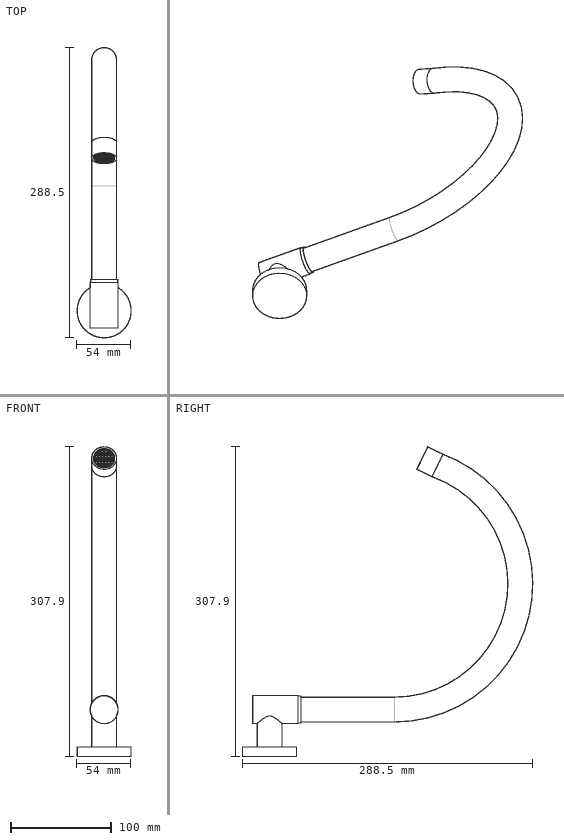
import cadquery as cq
import math


FLANGE_DIAMETER = 54.0
FLANGE_THICKNESS = 10.0
POST_DIAMETER = 25.0
BARREL_DIAMETER = 28.0
BARREL_FRONT = 17.0
BARREL_BACK = 28.0
ARM_HEIGHT = 46.8

COLLAR_DIAMETER = 27.0
COLLAR_LENGTH = 3.0
TUBE_DIAMETER = 25.0
BEND_START = 124.0
BEND_RADIUS = 125.0
BEND_ANGLE = 160.0
BEND_TRIM = 3.0

NOZZLE_TILT = 26.0
NOZZLE_LENGTH = 17.0
NOZZLE_DIAMETER = TUBE_DIAMETER
NOZZLE_WALL = 2.0
SCREEN_THICKNESS = 3.0
SCREEN_RECESS = 1.0
WEB_WIDTH = 1.0
WEB_PITCH = 3.0

COLLAR_END = BARREL_BACK + COLLAR_LENGTH
BEND_CENTRE_Z = ARM_HEIGHT + BEND_RADIUS
BORE_DIAMETER = NOZZLE_DIAMETER - 2 * NOZZLE_WALL
BORE_DEPTH = SCREEN_THICKNESS + SCREEN_RECESS
BORE_FLOOR = NOZZLE_LENGTH - BORE_DEPTH
WEBS_PER_SIDE = math.floor(BORE_DIAMETER / 2 / WEB_PITCH)


def arm_plane(y):
    """Plane square to the arm axis at a Y position."""
    return cq.Plane(origin=(0, y, ARM_HEIGHT), xDir=(1, 0, 0), normal=(0, 1, 0))


def bend_point(angle):
    """Y and Z of the bend axis after turning an angle in degrees."""
    turn = math.radians(angle)
    return (
        BEND_START + BEND_RADIUS * math.sin(turn),
        BEND_CENTRE_Z - BEND_RADIUS * math.cos(turn),
    )


def nozzle_plane(distance):
    """Plane square to the nozzle axis, at a distance from the spout end."""
    tilt = math.radians(NOZZLE_TILT)
    y_step = -math.cos(tilt)
    z_step = math.sin(tilt)
    y, z = bend_point(BEND_ANGLE)
    origin = (0, y + y_step * distance, z + z_step * distance)
    return cq.Plane(origin=origin, xDir=(1, 0, 0), normal=(0, y_step, z_step))


def rod(plane, diameter, length):
    """Round rod that starts on a plane and follows its normal."""
    return cq.Workplane(plane).circle(diameter / 2).extrude(length)


def make_flange():
    return rod(cq.Plane.XY(), FLANGE_DIAMETER, FLANGE_THICKNESS)


def make_valve_body():
    """Horizontal barrel on a vertical post."""
    barrel = rod(arm_plane(-BARREL_FRONT), BARREL_DIAMETER, BARREL_FRONT + BARREL_BACK)
    post_base = cq.Plane(origin=(0, 0, FLANGE_THICKNESS))
    post = rod(post_base, POST_DIAMETER, ARM_HEIGHT - FLANGE_THICKNESS)
    return barrel.union(post)


def make_collar():
    return rod(arm_plane(BARREL_BACK), COLLAR_DIAMETER, COLLAR_LENGTH)


def make_spout():
    """Straight tube and bend, with the end cut square to the nozzle axis."""
    full_turn = BEND_ANGLE + BEND_TRIM
    path = (
        cq.Workplane("YZ")
        .moveTo(COLLAR_END, ARM_HEIGHT)
        .lineTo(BEND_START, ARM_HEIGHT)
        .threePointArc(bend_point(full_turn / 2), bend_point(full_turn))
    )
    tube = cq.Workplane(arm_plane(COLLAR_END)).circle(TUBE_DIAMETER / 2).sweep(path)
    trim = rod(nozzle_plane(0), 2 * TUBE_DIAMETER, TUBE_DIAMETER)
    return tube.cut(trim)


def make_nozzle():
    """Round nozzle with a shallow bore for the screen in its outer face."""
    body = rod(nozzle_plane(0), NOZZLE_DIAMETER, NOZZLE_LENGTH)
    bore = rod(nozzle_plane(BORE_FLOOR), BORE_DIAMETER, BORE_DEPTH)
    return body.cut(bore)


def make_screen():
    """Disc-shaped lattice of crossing webs that fills the nozzle bore."""
    base = nozzle_plane(BORE_FLOOR)
    offsets = [i * WEB_PITCH for i in range(-WEBS_PER_SIDE, WEBS_PER_SIDE + 1)]
    upright_webs = (
        cq.Workplane(base)
        .pushPoints([(offset, 0) for offset in offsets])
        .rect(WEB_WIDTH, BORE_DIAMETER)
        .extrude(SCREEN_THICKNESS)
    )
    cross_webs = (
        cq.Workplane(base)
        .pushPoints([(0, offset) for offset in offsets])
        .rect(BORE_DIAMETER, WEB_WIDTH)
        .extrude(SCREEN_THICKNESS)
    )
    disc = rod(base, BORE_DIAMETER, SCREEN_THICKNESS)
    return disc.intersect(upright_webs.union(cross_webs))


flange = make_flange()
valve_body = make_valve_body()
collar = make_collar()
spout = make_spout()
nozzle = make_nozzle()
screen = make_screen()

result = cq.Compound.makeCompound([
    flange.solids().val(),
    valve_body.solids().val(),
    collar.solids().val(),
    spout.solids().val(),
    nozzle.solids().val(),
    screen.solids().val(),
])